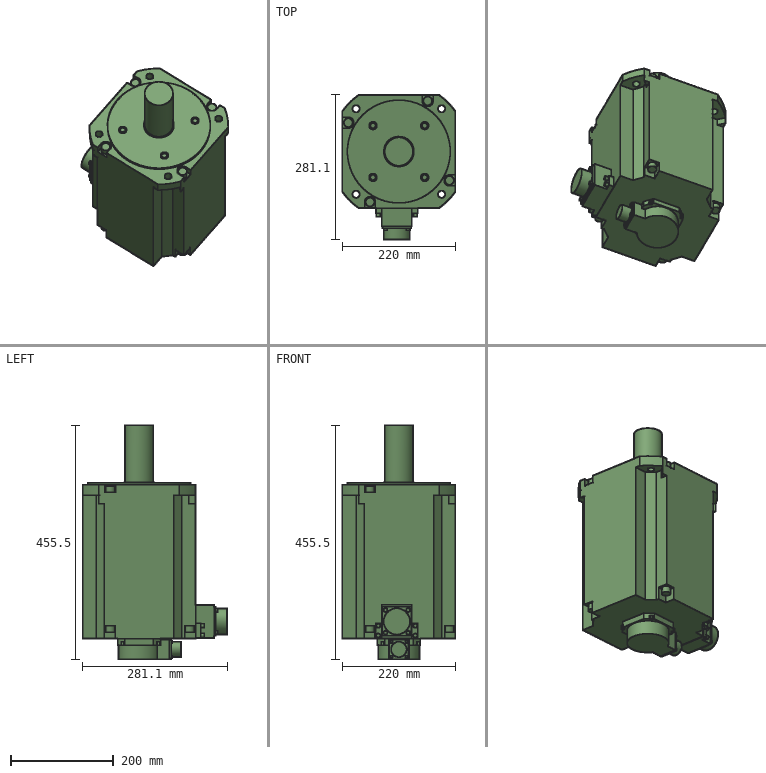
import cadquery as cq
import math


body_width = 220.0
half_width = body_width / 2
corner_radius = 135.0
flange_thickness = 20.5
pilot_diameter = 200.0
pilot_height = 4.0
mount_circle_diameter = 235.0
mount_hole_diameter = 13.5

shaft_diameter = 55.0
shaft_end_z = 116.0
collar_diameter = 58.5
collar_height = 1.0

ring_offset = 50.3
ring_outer_diameter = 15.0
ring_inner_diameter = 10.5
ring_depth = 1.0

body_bottom_z = -299.0
relief_start = 67.5
relief_inner = 83.0
tab_bottom_z = -37.0
tab_inner = 96.5

tie_bolt_along = 56.0
tie_bolt_out = 98.3
tie_head_diameter = 17.0
tie_head_height = 12.5
upper_slot_width = 21.0
lower_slot_width = 19.0
upper_slot_depth = 15.0
lower_slot_height = 25.0

power_x = -4.0
power_box_width = 59.0
power_box_height = 64.5
power_box_depth = 35.5
power_box_bottom_z = -298.0
power_plate_size = 56.5
power_plate_thickness = 3.7
power_plug_diameter = 51.0
power_reach_y = 171.1
power_screw_offset = 22.0
power_screw_diameter = 7.5
power_screw_height = 4.0
power_axis_z = -265.6
ear_span = 81.5
ear_height = 29.0
ear_thickness = 10.0
ear_screw_x = 36.0
ear_screw_diameter = 8.0
ear_screw_height = 7.0
ear_screw_heights = (5.0, 24.0)

encoder_base_width = 84.0
encoder_base_chamfer = 14.5
encoder_base_height = 12.5
encoder_cover_diameter = 81.0
encoder_bottom_z = -339.5
encoder_box_width = 39.5
encoder_box_reach = 59.0
encoder_box_top_z = -300.5
encoder_plate_size = 37.5
encoder_plate_thickness = 3.0
encoder_plug_diameter = 30.0
encoder_plug_reach = 81.5
encoder_screw_offset = 14.5
encoder_screw_diameter = 5.0
encoder_screw_height = 2.5
base_screw_along = 32.0
base_screw_out = 38.0
base_screw_diameter = 5.0
base_pocket_diameter = 7.5
base_pocket_height = 6.5


def box(x_range, y_range, z_range):
    """Box between the given low and high limits."""
    size = [high - low for low, high in (x_range, y_range, z_range)]
    low_corner = (x_range[0], y_range[0], z_range[0])
    return cq.Workplane("XY").box(*size, centered=False).translate(low_corner)


def post(x, y, bottom_z, top_z, diameter):
    """Vertical cylinder."""
    base = cq.Workplane("XY", origin=(x, y, bottom_z))
    return base.circle(diameter / 2).extrude(top_z - bottom_z)


def stud(x, z, start_y, length, diameter):
    """Cylinder that grows toward -Y from the plane y = start_y."""
    base = cq.Workplane("XZ", origin=(x, start_y, z))
    return base.circle(diameter / 2).extrude(length)


def four_sides(shape):
    """The shape repeated at quarter turns about the Z axis."""
    group = shape
    for quarter in range(1, 4):
        group = group.union(shape.rotate((0, 0, 0), (0, 0, 1), 90 * quarter))
    return group


def square_points(offset):
    """The four corners of a square, at the given offset from its centre."""
    return [(sx * offset, sy * offset) for sx in (-1, 1) for sy in (-1, 1)]


def make_flange():
    plate = box((-half_width, half_width), (-half_width, half_width), (-flange_thickness, 0))
    plate = plate.intersect(post(0, 0, -flange_thickness, 0, 2 * corner_radius))
    mount_offset = mount_circle_diameter / 2 / math.sqrt(2)
    for x, y in square_points(mount_offset):
        plate = plate.cut(post(x, y, -flange_thickness, 0, mount_hole_diameter))
    return plate


def make_housing():
    square = box((-half_width, half_width), (-half_width, half_width), (body_bottom_z, -flange_thickness))
    relief = (
        cq.Workplane("XY", origin=(0, 0, body_bottom_z))
        .moveTo(-half_width, -half_width)
        .lineTo(-half_width, -relief_start)
        .lineTo(-relief_inner, -relief_start)
        .lineTo(-relief_start, -relief_inner)
        .lineTo(-relief_start, -half_width)
        .close()
        .extrude(-flange_thickness - body_bottom_z)
    )
    return square.cut(four_sides(relief))


def make_tabs():
    """Triangular extensions of the side walls just below the flange."""
    tab_end = math.sqrt(corner_radius**2 - half_width**2)
    tab = (
        cq.Workplane("XY", origin=(0, 0, tab_bottom_z))
        .moveTo(-relief_start, -half_width)
        .lineTo(-tab_end, -half_width)
        .lineTo(-relief_start, -tab_inner)
        .close()
        .extrude(-flange_thickness - tab_bottom_z)
    )
    return four_sides(tab)


def make_tie_slots():
    """Open slots for the bolt heads, at the flange face and at the housing bottom."""
    upper_radius = upper_slot_width / 2
    upper = box(
        (-tie_bolt_along - upper_radius, -tie_bolt_along + upper_radius),
        (-half_width, -tie_bolt_out),
        (-upper_slot_depth, 0),
    )
    upper = upper.union(post(-tie_bolt_along, -tie_bolt_out, -upper_slot_depth, 0, upper_slot_width))
    lower_half = lower_slot_width / 2
    lower = box(
        (-relief_start, -tie_bolt_along + lower_half),
        (-half_width, -tie_bolt_out + lower_half),
        (body_bottom_z, body_bottom_z + lower_slot_height),
    )
    return four_sides(upper.union(lower))


def make_tie_heads():
    """Bolt heads standing in the upper slots and hanging in the lower ones."""
    upper_top = -upper_slot_depth + tie_head_height
    lower_top = body_bottom_z + lower_slot_height
    upper = post(-tie_bolt_along, -tie_bolt_out, -upper_slot_depth, upper_top, tie_head_diameter)
    lower = post(-tie_bolt_along, -tie_bolt_out, lower_top - tie_head_height, lower_top, tie_head_diameter)
    return four_sides(upper.union(lower))


def make_pilot_and_shaft():
    pilot = post(0, 0, 0, pilot_height, pilot_diameter)
    for x, y in square_points(ring_offset):
        ring = post(x, y, pilot_height - ring_depth, pilot_height, ring_outer_diameter)
        ring = ring.cut(post(x, y, pilot_height - ring_depth, pilot_height, ring_inner_diameter))
        pilot = pilot.cut(ring)
    collar = post(0, 0, pilot_height, pilot_height + collar_height, collar_diameter)
    return pilot.union(collar).union(post(0, 0, pilot_height, shaft_end_z, shaft_diameter))


def make_plug(x, z, start_y, plate_size, plate_thickness, diameter, reach, screws):
    """Square plate with a round plug and four screw heads, facing -Y."""
    screw_offset, screw_diameter, screw_height = screws
    face_y = start_y - plate_thickness
    half = plate_size / 2
    plug = box((x - half, x + half), (face_y, start_y), (z - half, z + half))
    plug = plug.union(stud(x, z, face_y, face_y + reach, diameter))
    for dx, dz in square_points(screw_offset):
        plug = plug.union(stud(x + dx, z + dz, face_y, screw_height, screw_diameter))
    return plug


def make_power_connector():
    half_box = power_box_width / 2
    half_span = ear_span / 2
    bottom = power_box_bottom_z
    front_y = -half_width - power_box_depth
    ear_y = -half_width - ear_thickness
    connector = box(
        (power_x - half_box, power_x + half_box), (front_y, -half_width), (bottom, bottom + power_box_height)
    )
    ears = box(
        (power_x - half_span, power_x + half_span), (ear_y, -half_width), (bottom, bottom + ear_height)
    )
    connector = connector.union(ears)
    for side in (-1, 1):
        for height in ear_screw_heights:
            screw_x = power_x + side * ear_screw_x
            screw = stud(screw_x, bottom + height, ear_y, ear_screw_height, ear_screw_diameter)
            connector = connector.union(screw)
    screws = (power_screw_offset, power_screw_diameter, power_screw_height)
    plug = make_plug(
        power_x, power_axis_z, front_y, power_plate_size, power_plate_thickness,
        power_plug_diameter, power_reach_y, screws,
    )
    return connector.union(plug)


def make_encoder():
    base_bottom_z = body_bottom_z - encoder_base_height
    half_base = encoder_base_width / 2
    base = box((-half_base, half_base), (-half_base, half_base), (base_bottom_z, body_bottom_z))
    base = base.edges("|Z").chamfer(encoder_base_chamfer)
    pocket_top = base_bottom_z + base_pocket_height
    pocket = post(-base_screw_along, -base_screw_out, base_bottom_z, pocket_top, base_pocket_diameter)
    head = post(-base_screw_along, -base_screw_out, base_bottom_z, pocket_top, base_screw_diameter)
    base = base.cut(four_sides(pocket)).union(four_sides(head))

    cover = post(0, 0, encoder_bottom_z, base_bottom_z, encoder_cover_diameter)
    half_box = encoder_box_width / 2
    outlet = box((-half_box, half_box), (-encoder_box_reach, 0), (encoder_bottom_z, encoder_box_top_z))
    axis_z = (encoder_bottom_z + encoder_box_top_z) / 2
    screws = (encoder_screw_offset, encoder_screw_diameter, encoder_screw_height)
    plug = make_plug(
        0, axis_z, -encoder_box_reach, encoder_plate_size, encoder_plate_thickness,
        encoder_plug_diameter, encoder_plug_reach, screws,
    )
    return base.union(cover).union(outlet).union(plug)


result = (
    make_flange()
    .union(make_housing())
    .union(make_tabs())
    .cut(make_tie_slots())
    .union(make_tie_heads())
    .union(make_pilot_and_shaft())
    .union(make_power_connector())
    .union(make_encoder())
)